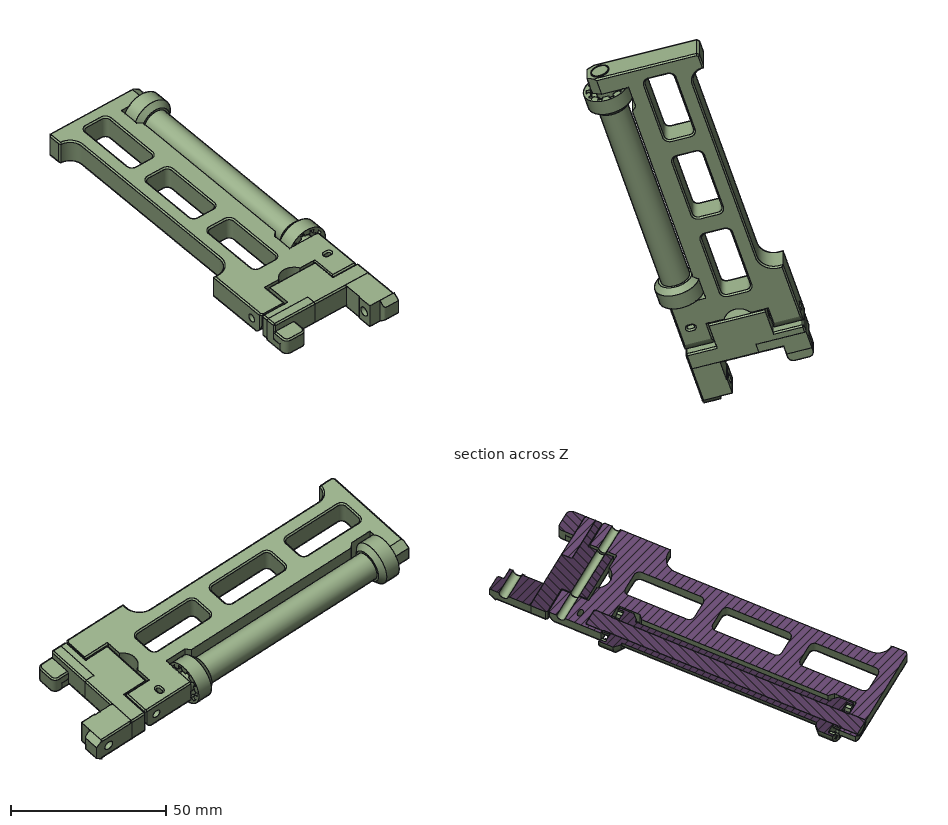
import cadquery as cq
import math


thickness = 9.0
half_thickness = thickness / 2
edge_chamfer = 0.5
cut_length = 263.4

back_y = 4.3
front_y = -35.4
frame_end_x = 110.8
left_arm_width = 6.0
left_foot_y = -33.3
foot_chamfer = 0.8
knuckle_block_x = 91.7
rail_back_y = -6.3
rail_front_y = -28.3
wheel_pocket_y = -7.9
wheel_pocket_length = 7.8
wheel_pocket_slope = 1.5
arm_end_slope_y = 3.2
arm_end_slope_z = 2.0
left_fillet = 4.7
right_fillet = 5.5
right_fillet_x = 86.7

window_count = 3
window_pitch = 31.5
window_length = 24.8
window_width = 9.9
window_x = 17.3
window_y = -18.2
window_radius = 1.8

hinge_x = 106.2
hinge_hole_radius = 1.5
recess_x = 101.2
recess_back_y = -5.7
recess_front_y = -25.5
relief_x = 103.5
relief_y = -15.7
relief_radius = 5.0
slot_x = 101.3
slot_length = 2.5
slot_width = 1.5

wheel_radius = 15.1 / 2
wheel_gap = 0.7
wheel_rim_length = 5.3
wheel_cone_length = 1.8
wheel_cone_radius = 5.7
tube_radius = 4.9
axle_radius = 3.0
axle_chamfer = 0.3
axle_socket_depth = 6.0
bushing_radius = 3.5
socket_radius = 5.4
socket_depth = 2.0
notch_count = 10
notch_outer_radius = 6.6
notch_width = 1.5

tab_x = 101.8
tab_back_y = -5.8
tab_front_y = -24.8
plate_x = 110.9
plate_end_x = 117.2
plate_back_y = 4.7
plate_front_y = -35.0

strip_x = 113.5
strip_back_y = -18.2
lug_end_x = 123.1
lug_back_y = -26.5
lug_top_z = 1.5
lug_bottom_z = -1.8
lug_corner_radius = 2.0
foot_end_x = 120.0

arm_end_x = 129.5
arm_front_y = -5.4
arm_relief_depth = 0.3
arm_relief_end_x = 124.0
arm_hole_x = 126.6
arm_hole_radius = 3.3 / 2
nose_end_x = 131.7
nose_front_y = -1.2
nose_slope_z = 1.8
nose_corner_radius = 0.8


def box(x0, x1, y0, y1, z0=-half_thickness, z1=half_thickness):
    """Box between two opposite corners."""
    return cq.Workplane("XY").box(x1 - x0, y1 - y0, z1 - z0, centered=False).translate((x0, y0, z0))


def rod(x0, x1, radius):
    """Cylinder on the roller axis."""
    return cq.Workplane("YZ").workplane(offset=x0).circle(radius).extrude(x1 - x0)


def cross_hole(x, radius):
    """Cutter for a hole along Y through the whole part, on the mid-plane."""
    return cq.Workplane("XZ").center(x, 0).circle(radius).extrude(cut_length / 2, both=True)


def sharp_region(x0, x1, y0, y1):
    """Selector for edges with their middle in a rectangle, at any height."""
    margin = edge_chamfer / 2
    low_corner = (x0 + margin if x0 == 0 else x0 - margin, y0 - margin, -thickness)
    return cq.selectors.BoxSelector(low_corner, (x1 + margin, y1 + margin, thickness))


roller_start_x = left_arm_width + wheel_gap
roller_end_x = knuckle_block_x - wheel_gap
roller_middle_x = (roller_start_x + roller_end_x) / 2
axle_end_x = knuckle_block_x + axle_socket_depth


def make_frame():
    pocket_left_x = left_arm_width + wheel_pocket_length
    pocket_right_x = knuckle_block_x - wheel_pocket_length
    arc_share = 1 - math.sqrt(0.5)
    left_arc_mid = (left_arm_width + left_fillet * arc_share, rail_front_y - left_fillet * arc_share)
    right_arc_mid = (right_fillet_x - right_fillet * arc_share, rail_front_y - right_fillet * arc_share)
    body = (
        cq.Workplane("XY")
        .workplane(offset=-half_thickness)
        .moveTo(foot_chamfer, left_foot_y)
        .lineTo(0, left_foot_y + foot_chamfer)
        .lineTo(0, back_y)
        .lineTo(left_arm_width, back_y)
        .lineTo(left_arm_width, wheel_pocket_y)
        .lineTo(pocket_left_x, wheel_pocket_y)
        .lineTo(pocket_left_x + wheel_pocket_slope, rail_back_y)
        .lineTo(pocket_right_x - wheel_pocket_slope, rail_back_y)
        .lineTo(pocket_right_x, wheel_pocket_y)
        .lineTo(knuckle_block_x, wheel_pocket_y)
        .lineTo(knuckle_block_x, back_y)
        .lineTo(frame_end_x, back_y)
        .lineTo(frame_end_x, recess_back_y)
        .lineTo(recess_x, recess_back_y)
        .lineTo(recess_x, recess_front_y)
        .lineTo(frame_end_x, recess_front_y)
        .lineTo(frame_end_x, front_y)
        .lineTo(right_fillet_x, front_y)
        .lineTo(right_fillet_x, rail_front_y - right_fillet)
        .threePointArc(right_arc_mid, (right_fillet_x - right_fillet, rail_front_y))
        .lineTo(left_arm_width + left_fillet, rail_front_y)
        .threePointArc(left_arc_mid, (left_arm_width, rail_front_y - left_fillet))
        .lineTo(left_arm_width - foot_chamfer, left_foot_y)
        .close()
        .extrude(thickness)
    )
    windows = (
        cq.Workplane("XY")
        .pushPoints([(window_x + i * window_pitch, window_y) for i in range(window_count)])
        .rect(window_length, window_width)
        .extrude(thickness, both=True)
        .edges("|Z")
        .fillet(window_radius)
    )
    slot = cq.Workplane("XY").center(slot_x, 0).slot2D(slot_length, slot_width, 90)
    body = body.cut(windows).cut(slot.extrude(thickness, both=True))

    body = body.edges("|Z").edges(">X").edges("<Y or >Y").chamfer(edge_chamfer)

    sharp_rims = [
        sharp_region(0, knuckle_block_x, wheel_pocket_y, back_y),
        sharp_region(recess_x, recess_x, recess_front_y, recess_back_y),
        sharp_region(frame_end_x, frame_end_x, front_y, recess_front_y),
    ]
    rims = body.faces("|Z").edges().vals()
    for region in sharp_rims:
        sharp_edges = region.filter(rims)
        rims = [edge for edge in rims if edge not in sharp_edges]
    body = body.newObject(rims).chamfer(edge_chamfer)

    for side in (1, -1):
        slope = (
            cq.Workplane("YZ")
            .moveTo(back_y, side * (half_thickness - arm_end_slope_z))
            .lineTo(back_y, side * half_thickness)
            .lineTo(back_y - arm_end_slope_y, side * half_thickness)
            .close()
            .extrude(left_arm_width)
        )
        body = body.cut(slope)

    knuckle_corner = box(hinge_x, frame_end_x, front_y, back_y, -half_thickness, 0)
    body = body.cut(knuckle_corner.cut(cross_hole(hinge_x, frame_end_x - hinge_x)))

    relief = cq.Workplane("XY").center(relief_x, relief_y).circle(relief_radius)
    body = body.cut(relief.extrude(thickness, both=True))
    return body.cut(cross_hole(hinge_x, hinge_hole_radius)).cut(rod(0, axle_end_x, axle_radius))


def make_axle():
    return rod(0, axle_end_x, axle_radius).faces("<X or >X").chamfer(axle_chamfer)


def make_roller():
    """Spool with a notched socket in each end."""
    rim_end_x = roller_start_x + wheel_rim_length
    cone_end_x = rim_end_x + wheel_cone_length
    half = (
        cq.Workplane("XY")
        .moveTo(roller_start_x, 0)
        .lineTo(roller_start_x, wheel_radius)
        .lineTo(rim_end_x, wheel_radius)
        .lineTo(cone_end_x, wheel_cone_radius)
        .lineTo(cone_end_x, tube_radius)
        .lineTo(roller_middle_x, tube_radius)
        .lineTo(roller_middle_x, 0)
        .close()
        .revolve(360, (0, 0, 0), (1, 0, 0))
    )
    socket_end_x = roller_start_x + socket_depth
    half = half.cut(rod(roller_start_x, socket_end_x, socket_radius))
    notch = box(
        roller_start_x, socket_end_x, 0, notch_outer_radius, -notch_width / 2, notch_width / 2
    )
    for i in range(notch_count):
        half = half.cut(notch.rotate((0, 0, 0), (1, 0, 0), i * 360 / notch_count))
    other_half = half.mirror("YZ", (roller_middle_x, 0, 0))
    return half.union(other_half).cut(rod(roller_start_x, roller_end_x, axle_radius))


def make_bushing(x):
    """Sleeve on the axle that spaces the roller from the frame, starting at x."""
    length = wheel_gap + socket_depth
    return rod(x, x + length, bushing_radius).cut(rod(x, x + length, axle_radius))


def make_hinge_blank():
    """Plate with a tab between the frame's knuckles."""
    plate = box(plate_x, plate_end_x, plate_front_y, plate_back_y).edges().chamfer(edge_chamfer)
    tab = box(tab_x, plate_end_x - edge_chamfer, tab_front_y, tab_back_y)
    tab = tab.faces("<X").edges("|Y").chamfer(edge_chamfer)
    return plate.union(tab)


def make_strip_zone():
    """Corner of the hinge blank that the latch strip takes up."""
    return box(strip_x, plate_end_x, plate_front_y, strip_back_y)


def make_hinge_block():
    block = make_hinge_blank().cut(make_strip_zone())
    return block.cut(cross_hole(hinge_x, hinge_hole_radius))


def make_foot():
    return box(strip_x, foot_end_x, plate_front_y, lug_back_y, -half_thickness, lug_bottom_z)


def make_latch_strip():
    """L-shaped strip: a wall against the hinge block and a foot under the lug."""
    return make_hinge_blank().intersect(make_strip_zone()).union(make_foot())


def make_lug():
    """Hooked block that rests on the foot of the latch strip and closes over its end."""
    lug = box(plate_end_x - edge_chamfer, lug_end_x, plate_front_y, lug_back_y, -half_thickness, lug_top_z)
    lug = lug.edges("|Z and >X").fillet(lug_corner_radius)
    lug = lug.faces(">Z").edges("not <X").chamfer(edge_chamfer)
    return lug.cut(make_latch_strip())


def make_arm():
    """Arm seated on the chamfered end of the hinge block."""
    start_x = plate_end_x - edge_chamfer
    arm = box(start_x, arm_end_x, arm_front_y, plate_back_y)
    arm = arm.edges("|X and >Y").chamfer(edge_chamfer)
    arm = arm.cut(box(start_x, arm_relief_end_x, arm_front_y, arm_front_y + arm_relief_depth))
    nose = (
        cq.Workplane("XZ", origin=(0, plate_back_y, 0))
        .moveTo(arm_end_x, -half_thickness)
        .lineTo(nose_end_x, nose_slope_z - half_thickness)
        .lineTo(nose_end_x, half_thickness - nose_slope_z)
        .lineTo(arm_end_x, half_thickness)
        .close()
        .extrude(plate_back_y - nose_front_y)
    )
    nose = nose.faces(">X").edges("<Y").fillet(nose_corner_radius)
    return arm.union(nose).cut(make_hinge_block()).cut(cross_hole(arm_hole_x, arm_hole_radius))


frame = make_frame()
axle = make_axle()
roller = make_roller()
bushing_length = wheel_gap + socket_depth
bushings = [make_bushing(x) for x in (left_arm_width, knuckle_block_x - bushing_length)]
hinge_block = make_hinge_block()
latch_strip = make_latch_strip()
lug = make_lug()
arm = make_arm()

result = cq.Compound.makeCompound(
    [
        frame.val(),
        axle.val(),
        roller.val(),
        *[bushing.val() for bushing in bushings],
        hinge_block.val(),
        latch_strip.val(),
        lug.val(),
        arm.val(),
    ]
)